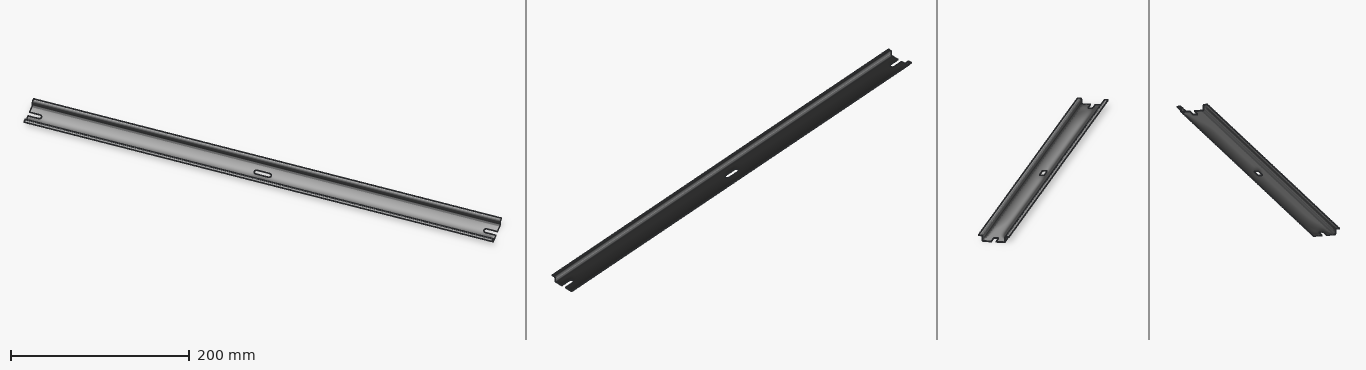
import cadquery as cq

rail_length = 551.0
rail_width = 35.0
rail_height = 7.5
sheet_thickness = 1.0
channel_width = 27.0

floor_bend_inner_radius = 0.5
floor_bend_outer_radius = 2.0
flange_bend_inner_radius = 0.8
flange_bend_outer_radius = flange_bend_inner_radius + sheet_thickness

slot_width = 5.5
middle_slot_length = 20.0
end_slot_depth = 15.0


def make_rail():
    """Sharp-cornered hat section, extruded along X, with its bends rounded."""
    half_rail = rail_width / 2
    half_outer = channel_width / 2
    half_inner = half_outer - sheet_thickness
    flange_underside = rail_height - sheet_thickness

    right_side = [
        (half_outer, 0),
        (half_outer, flange_underside),
        (half_rail, flange_underside),
        (half_rail, rail_height),
        (half_inner, rail_height),
        (half_inner, sheet_thickness),
    ]
    left_side = [(-y, z) for y, z in reversed(right_side)]
    rail = (
        cq.Workplane("YZ")
        .polyline(right_side + left_side)
        .close()
        .extrude(rail_length / 2, both=True)
    )

    rail = round_bend(rail, half_inner, sheet_thickness, floor_bend_inner_radius)
    rail = round_bend(rail, half_outer, 0, floor_bend_outer_radius)
    rail = round_bend(rail, half_outer, flange_underside, flange_bend_inner_radius)
    return round_bend(rail, half_inner, rail_height, flange_bend_outer_radius)


def round_bend(rail, y, z, radius):
    """Fillet the lengthwise edge at (y, z) and its mirror image at (-y, z)."""
    for side in (1, -1):
        nearest = cq.selectors.NearestToPointSelector((0, side * y, z))
        rail = rail.edges("|X").edges(nearest).fillet(radius)
    return rail


def make_slot(center_x, length):
    """Round-ended cutter along X, as tall as the rail."""
    return (
        cq.Workplane("XY")
        .center(center_x, 0)
        .slot2D(length, slot_width)
        .extrude(rail_height)
    )


def cut_slots(rail):
    """One closed slot at mid-length and one open slot at each end."""
    rail = rail.cut(make_slot(0, middle_slot_length))
    for end in (1, -1):
        rail = rail.cut(make_slot(end * rail_length / 2, 2 * end_slot_depth))
    return rail


result = cut_slots(make_rail())